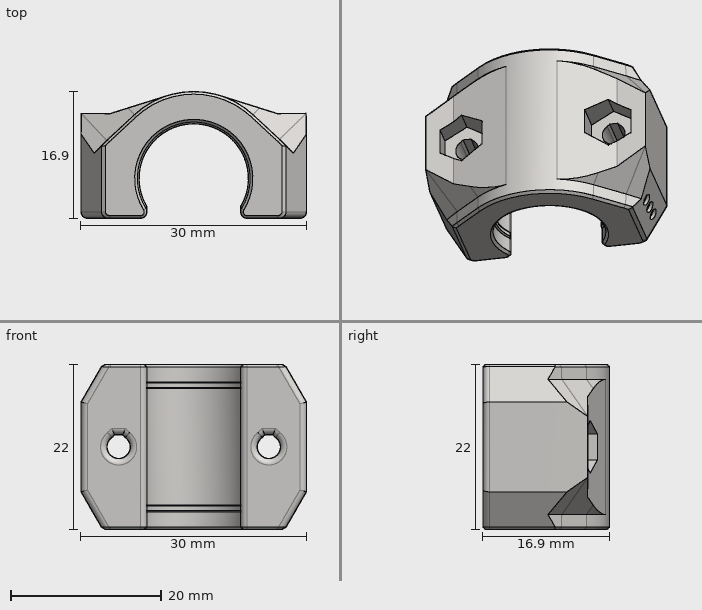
import cadquery as cq
import math


width = 30.0
height = 22.0
wall_radius = 11.58
front_y = -5.3
half_width = width / 2
half_height = height / 2

ear_back_y = 8.65
ear_flat_x = 11.13
side_half_height = 5.97
corner_slope = 60
corner_run = (half_height - side_half_height) / math.tan(math.radians(corner_slope))

shoulder_z = 9.0
shoulder_inset = 3.5
shoulder_x = half_width - shoulder_inset
shoulder_y = ear_back_y - shoulder_inset
flare_growth = 6.0

bore_radius = 7.5
edge_radius = 0.87
end_chamfer = 0.35
lip_centre_x = math.sqrt((bore_radius + edge_radius) ** 2 - (front_y + edge_radius) ** 2)
lip_gap = 2 * (lip_centre_x - edge_radius)
ridge_radius = 7.25
ridge_width = 0.9
ridge_flank = 0.15
ridge_offset = 8.2

screw_x = 10.0
screw_radius = 1.53
screw_roof_z = 1.6
screw_roof_half = 0.55
nut_across_flats = 6.0
nut_floor_y = 5.65

dot_count = 3
dot_diameter = 1.5
dot_depth = 0.5
dot_pitch = 2.0
dot_middle_y = -0.27
dot_z = -8.35


def tangent_angle(x, y):
    """Angle on the outer wall where a line from (x, y) on the right touches it, nearest its top."""
    return math.atan2(y, x) + math.acos(wall_radius / math.hypot(x, y))


def polar(radius, angle):
    """Point at the given radius and angle."""
    return radius * math.cos(angle), radius * math.sin(angle)


def mirrored_outline(plane, right_points, top_y):
    """Symmetric outline: points on the right in rising order, an arc over the top, their mirror."""
    left_points = [(-x, y) for x, y in reversed(right_points)]
    return (
        plane
        .polyline(right_points)
        .threePointArc((0, top_y), left_points[0])
        .polyline(left_points)
        .close()
    )


def ear_block():
    """Mid-height outline, with the ear backs running tangent into the wall, and cut corners."""
    outline = mirrored_outline(
        cq.Workplane("XY", origin=(0, 0, -half_height)),
        [
            (half_width, front_y),
            (half_width, ear_back_y),
            (ear_flat_x, ear_back_y),
            polar(wall_radius, tangent_angle(ear_flat_x, ear_back_y)),
        ],
        wall_radius,
    )
    top_half_width = half_width - corner_run
    right_side = [
        (top_half_width, -half_height),
        (half_width, -side_half_height),
        (half_width, side_half_height),
        (top_half_width, half_height),
    ]
    left_side = [(-x, z) for x, z in reversed(right_side)]
    octagon = (
        cq.Workplane("XZ", origin=(0, wall_radius, 0))
        .polyline(right_side + left_side)
        .close()
        .extrude(wall_radius - front_y)
    )
    return outline.extrude(height).intersect(octagon)


def shoulder_outline(plane, growth):
    """Shoulder outline moved outwards by the given growth, drawn on the plane."""
    side_angle = math.pi / 4
    wall_angle = tangent_angle(shoulder_x, shoulder_y)
    corner_angle = (side_angle + wall_angle) / 2
    corner_shift = growth / math.cos(wall_angle - corner_angle)
    shift_x, shift_y = polar(corner_shift, corner_angle)
    corner_x = shoulder_x + shift_x
    corner_y = shoulder_y + shift_y
    foot_y = 2 * front_y
    right_points = [
        (corner_x + corner_y - foot_y, foot_y),
        (corner_x, corner_y),
        polar(wall_radius + growth, wall_angle),
    ]
    return mirrored_outline(plane, right_points, wall_radius + growth)


def shoulder_envelope():
    """Shoulder outline along the whole height, plus a wider middle chamfered down to it."""
    straight = shoulder_outline(cq.Workplane("XY"), 0).extrude(half_height, both=True)
    middle = shoulder_outline(cq.Workplane("XY"), flare_growth).extrude(shoulder_z, both=True)
    flared_edges = middle.faces("<Z or >Z").edges("not(<Y)")
    return straight.union(flared_edges.chamfer(flare_growth))


def retaining_ridge(z):
    """Inward ridge with sloped sides, stopped level with the rounded lips."""
    root_radius = bore_radius + 0.3
    half = ridge_width / 2
    half_crest = half - ridge_flank
    ring = (
        cq.Workplane("XZ")
        .polyline([
            (root_radius, z - half),
            (bore_radius, z - half),
            (ridge_radius, z - half_crest),
            (ridge_radius, z + half_crest),
            (bore_radius, z + half),
            (root_radius, z + half),
        ])
        .close()
        .revolve(360, (0, 0, 0), (0, 1, 0))
    )
    opening = cq.Workplane("XY").box(lip_gap, width, height).translate((0, -width / 2, 0))
    below_lips = cq.Workplane("XY").box(width, width, height).translate(
        (0, front_y + edge_radius - width / 2, 0))
    return ring.cut(opening).cut(below_lips)


def screw_hole(x):
    """Through hole along Y, its roof made of a flat between two 45 degree slopes."""
    slope_reach = screw_roof_half + screw_roof_z
    angle = math.pi / 4 + math.acos(slope_reach / math.sqrt(2) / screw_radius)
    slope_foot_x = screw_radius * math.cos(angle)
    slope_foot_z = screw_radius * math.sin(angle)
    return (
        cq.Workplane("XZ", origin=(x, wall_radius, 0))
        .moveTo(slope_foot_x, slope_foot_z)
        .lineTo(screw_roof_half, screw_roof_z)
        .lineTo(-screw_roof_half, screw_roof_z)
        .lineTo(-slope_foot_x, slope_foot_z)
        .threePointArc((0, -screw_radius), (slope_foot_x, slope_foot_z))
        .close()
        .extrude(wall_radius - front_y)
    )


def nut_pocket(x):
    """Hexagonal pocket open to the back, with its points up and down."""
    across_corners = nut_across_flats / math.cos(math.radians(30))
    return (
        cq.Workplane("XZ", origin=(x, wall_radius, 0))
        .transformed(rotate=(0, 0, 90))
        .polygon(6, across_corners)
        .extrude(wall_radius - nut_floor_y)
    )


def marker_dots():
    """Row of shallow round dots sunk square into the lower corner face on the -X side."""
    slope = math.radians(corner_slope)
    face_x = -half_width - (dot_z + side_half_height) / math.tan(slope)
    face = cq.Plane(
        origin=(face_x, dot_middle_y, dot_z),
        xDir=(0, 1, 0),
        normal=(-math.sin(slope), 0, -math.cos(slope)),
    )
    return (
        cq.Workplane(face)
        .rarray(dot_pitch, 0.3, dot_count, 1)
        .circle(dot_diameter / 2)
        .extrude(-dot_depth)
    )


def front_edges(x, reach_x, reach_z):
    """Selector for front face edges lying within the given reach of (x, 0)."""
    margin = 0.03
    return cq.selectors.BoxSelector(
        (x - reach_x, front_y - margin, -reach_z),
        (x + reach_x, front_y + margin, reach_z),
    )


body = ear_block().intersect(shoulder_envelope())
body = body.cut(cq.Workplane("XY").circle(bore_radius).extrude(half_height, both=True))

body = body.edges(front_edges(0, width, shoulder_z)).fillet(edge_radius)

for x in (-screw_x, screw_x):
    body = body.cut(screw_hole(x))
    mouth = front_edges(x, screw_roof_z + 0.3, screw_roof_z + 0.3)
    body = body.edges(mouth).fillet(edge_radius)
    body = body.cut(nut_pocket(x))

chamfered_edges = cq.selectors.BoxSelector(
    (-half_width, front_y - 0.3, -height), (half_width, shoulder_y, height))
body = body.faces("<Z or >Z").edges(chamfered_edges).chamfer(end_chamfer)

for z in (-ridge_offset, ridge_offset):
    body = body.union(retaining_ridge(z))

result = body.cut(marker_dots())